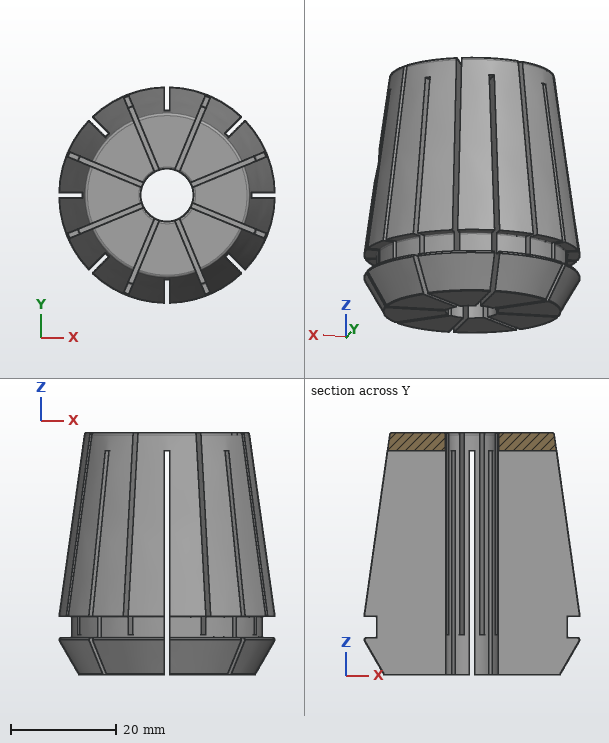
import cadquery as cq
import math

height = 46.0
max_radius = 20.5
bore_diameter = 10.0

cone_base_z = 11.1
cone_half_angle = 8.0
top_edge_fillet = 0.5

groove_radius = 18.1
groove_fillet = 0.2
collar_top_z = 7.05
collar_rim_chamfer_width = 0.3
collar_rim_chamfer_height = 0.45
collar_half_angle = 30.0
bottom_land_height = 0.2

slot_width = 1.0
slots_per_set = 8
bottom_slot_end_z = 42.5
top_slot_end_z = 7.6

bore_radius = bore_diameter / 2
bore_edge_fillet = 0.4

cone_slope = math.tan(math.radians(cone_half_angle))
collar_slope = math.tan(math.radians(collar_half_angle))
top_face_radius = max_radius - (height - cone_base_z) * cone_slope
rim_z = collar_top_z - collar_rim_chamfer_height
bottom_radius = max_radius - (rim_z - bottom_land_height) * collar_slope
slot_pitch = 360.0 / slots_per_set


def make_body():
    """Revolve the half section, bore included, about the Z axis."""
    section = (
        cq.Workplane("XZ")
        .moveTo(bore_radius, 0)
        .lineTo(bottom_radius, 0)
        .lineTo(bottom_radius, bottom_land_height)
        .lineTo(max_radius, rim_z)
        .lineTo(max_radius - collar_rim_chamfer_width, collar_top_z)
        .lineTo(groove_radius, collar_top_z)
        .lineTo(groove_radius, cone_base_z)
        .lineTo(max_radius, cone_base_z)
        .lineTo(top_face_radius, height)
        .lineTo(bore_radius, height)
        .close()
    )
    return section.revolve(360, (0, 0, 0), (0, 1, 0))


def round_edge(body, edge_radius, edge_z, fillet):
    """Fillet the circular edge of the given radius at the given height."""
    for edge in body.edges("%CIRCLE").vals():
        same_radius = math.isclose(edge.radius(), edge_radius)
        same_height = math.isclose(edge.Center().z, edge_z)
        if same_radius and same_height:
            return body.newObject([edge]).fillet(fillet)
    raise ValueError("no circular edge at this radius and height")


def cut_slots(body, start_z, end_z, first_angle):
    """Cut a set of radial slots; each cutter spans two opposite slots."""
    for index in range(slots_per_set // 2):
        cutter = (
            cq.Workplane("XY")
            .workplane(offset=start_z)
            .rect(2 * max_radius + slot_width, slot_width)
            .extrude(end_z - start_z)
            .rotate((0, 0, 0), (0, 0, 1), first_angle + index * slot_pitch)
        )
        body = body.cut(cutter)
    return body


collet = make_body()

collet = round_edge(collet, groove_radius, collar_top_z, groove_fillet)
collet = round_edge(collet, groove_radius, cone_base_z, groove_fillet)
collet = round_edge(collet, top_face_radius, height, top_edge_fillet)
collet = round_edge(collet, bore_radius, height, bore_edge_fillet)

collet = cut_slots(collet, 0, bottom_slot_end_z, 0)

collet = cut_slots(collet, top_slot_end_z, height, slot_pitch / 2)

result = collet